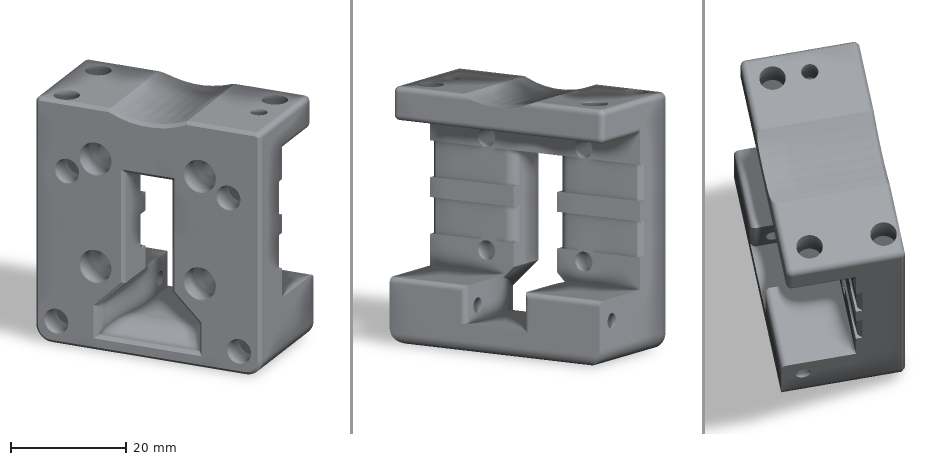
import cadquery as cq
import math

WIDTH = 43.2
DEPTH = 22.0
HEIGHT = 45.4

WALL_THICKNESS = 8.8
ARM_DEPTH = 21.0
ARM_THICKNESS = 6.0
BLOCK_HEIGHT = 11.8
ARM_FILLET = 1.0
BLOCK_TOP_FILLET = 1.0
BLOCK_BOTTOM_FILLET = 2.0
BOTTOM_CORNER_RADIUS = 3.0
FRONT_CHAMFER = 0.6

DIP_WIDTH = 14.7
DIP_SAG = 1.6

WINDOW_HALF_WIDTH = 4.5
WINDOW_TOP = 33.9
WINDOW_SHOULDER = 13.2
MOUTH_HALF_WIDTH = 9.75
MOUTH_FLOOR = 2.8
MOUTH_SHOULDER = 8.15

STRAIGHT_END = 2.1
STRAIGHT_HALF_WIDTH = 9.2
THROAT_HALF_WIDTH = 6.0
THROAT_START = 14.0
EXIT_FILLET = 1.0
FLOOR_FLAT_END = 1.2
FLOOR_LEVEL_START = 7.0
THROAT_FLOOR = 5.0

SCREW_PITCH = 20.0
SCREW_CENTRE_Z = 25.65
SCREW_DIAMETER = 3.5
SCREW_HEAD_DIAMETER = 6.1
SCREW_HEAD_DEPTH = 4.0
SCREW_CONE_ANGLE = 118.0

SLOT_WIDTH = 6.5
SLOT_PITCH = SCREW_PITCH / 2
SLOT_CENTRE_Z = SCREW_CENTRE_Z
SLOT_DEPTH = 0.4
SLOT_END_CHAMFER = 0.8
SLOT_WINDOW_RADIUS = 2.0

MAGNET_DIAMETER = 4.6
MAGNET_DEPTH = 5.0
BOTTOM_MAGNET_Z = 4.25
RELIEF_MAGNET_X = 17.5
FRONT_MAGNETS = [
    (-15.45, 32.5),
    (15.45, 32.5),
    (-RELIEF_MAGNET_X, BOTTOM_MAGNET_Z),
    (RELIEF_MAGNET_X, BOTTOM_MAGNET_Z),
]
TOP_MAGNETS = [(-16.9, 16.1), (-16.9, 3.0), (16.9, 16.1)]

RELIEF_FLOOR = 4.6
RELIEF_DEPTH = 0.9

PIN_DIAMETER = 3.0
PIN_X = 16.9
PIN_Y = 9.5
PIN_DEPTH = 5.0

CROSS_PIN_Y = 18.05
CROSS_PIN_Z = 7.8
CROSS_PIN_DIAMETER = 2.7
CROSS_PIN_DEPTH = 35.0


def hole_along_y(x, z, diameter, depth):
    """Cylinder running in +Y from the front face."""
    return cq.Workplane("XZ", origin=(x, 0, z)).circle(diameter / 2).extrude(-depth)


def hole_from_top(x, y, diameter, depth):
    """Cylinder running down from the top face."""
    return cq.Workplane("XY", origin=(x, y, HEIGHT - depth)).circle(diameter / 2).extrude(depth)


def make_block():
    block = cq.Workplane("XY").box(WIDTH, DEPTH, BLOCK_HEIGHT, centered=(True, False, False))
    block = block.edges(">Y and >Z").fillet(BLOCK_TOP_FILLET)
    return block.edges(">Y and <Z").fillet(BLOCK_BOTTOM_FILLET)


def make_arm():
    arm = (
        cq.Workplane("XY", origin=(0, 0, HEIGHT - ARM_THICKNESS))
        .box(WIDTH, ARM_DEPTH, ARM_THICKNESS, centered=(True, False, False))
    )
    return arm.edges("not <Y").fillet(ARM_FILLET)


def make_wall():
    wall = cq.Workplane("XY").box(WIDTH, WALL_THICKNESS, HEIGHT, centered=(True, False, False))
    return wall.edges("|Y and >Z").fillet(ARM_FILLET)


def make_dip():
    dip_radius = ((DIP_WIDTH / 2) ** 2 + DIP_SAG**2) / (2 * DIP_SAG)
    return hole_along_y(0, HEIGHT - DIP_SAG + dip_radius, 2 * dip_radius, DEPTH)


def make_corner_envelope():
    """Rectangle with rounded bottom corners, swept through the whole depth."""
    envelope = cq.Workplane("XY").box(WIDTH, DEPTH, HEIGHT, centered=(True, False, False))
    return envelope.edges("|Y and <Z").fillet(BOTTOM_CORNER_RADIUS)


def make_body():
    body = make_wall().union(make_arm()).union(make_block())
    body = body.intersect(make_corner_envelope()).cut(make_dip())
    return body.faces("<Y").edges().chamfer(FRONT_CHAMFER)


def window_outline(offset):
    """Keyhole outline grown outwards by `offset`."""
    slope_angle = math.atan2(MOUTH_HALF_WIDTH - WINDOW_HALF_WIDTH, WINDOW_SHOULDER - MOUTH_SHOULDER)
    slope_shift = offset * math.tan(slope_angle / 2)
    inner = WINDOW_HALF_WIDTH + offset
    outer = MOUTH_HALF_WIDTH + offset
    top = WINDOW_TOP + offset
    floor = MOUTH_FLOOR - offset
    upper = WINDOW_SHOULDER + slope_shift
    lower = MOUTH_SHOULDER + slope_shift
    return [
        (-inner, top),
        (inner, top),
        (inner, upper),
        (outer, lower),
        (outer, floor),
        (-outer, floor),
        (-outer, lower),
        (-inner, upper),
    ]


def make_funnel_plan():
    """Outline of the funnel seen from above, as a tall prism."""
    narrowing = STRAIGHT_HALF_WIDTH - THROAT_HALF_WIDTH
    run = THROAT_START - STRAIGHT_END
    radius = (run**2 + narrowing**2) / (2 * narrowing)
    half_angle = math.asin(run / radius) / 2
    mid_x = THROAT_HALF_WIDTH + radius * (1 - math.cos(half_angle))
    mid_y = THROAT_START - radius * math.sin(half_angle)
    exit_start = DEPTH - EXIT_FILLET
    exit_half_width = THROAT_HALF_WIDTH + EXIT_FILLET
    exit_mid_x = exit_half_width - EXIT_FILLET * math.cos(math.pi / 4)
    exit_mid_y = exit_start + EXIT_FILLET * math.sin(math.pi / 4)
    half = (
        cq.Workplane("XY")
        .moveTo(0, 0)
        .lineTo(MOUTH_HALF_WIDTH, 0)
        .lineTo(MOUTH_HALF_WIDTH, FRONT_CHAMFER)
        .lineTo(STRAIGHT_HALF_WIDTH, STRAIGHT_END)
        .threePointArc((mid_x, mid_y), (THROAT_HALF_WIDTH, THROAT_START))
        .lineTo(THROAT_HALF_WIDTH, exit_start)
        .threePointArc((exit_mid_x, exit_mid_y), (exit_half_width, DEPTH))
        .lineTo(0, DEPTH)
        .close()
        .extrude(HEIGHT)
    )
    return half.union(half.mirror("YZ"))


def make_funnel_side():
    """Space above the curved floor and inside the window height, as a wide prism."""
    rise = THROAT_FLOOR - MOUTH_FLOOR
    run = FLOOR_LEVEL_START - FLOOR_FLAT_END
    radius = (run**2 + rise**2) / (2 * rise)
    half_angle = math.asin(run / radius) / 2
    mid_y = FLOOR_LEVEL_START - radius * math.sin(half_angle)
    mid_z = THROAT_FLOOR - radius * (1 - math.cos(half_angle))
    return (
        cq.Workplane("YZ", origin=(-WIDTH / 2, 0, 0))
        .moveTo(0, MOUTH_FLOOR)
        .lineTo(FLOOR_FLAT_END, MOUTH_FLOOR)
        .threePointArc((mid_y, mid_z), (FLOOR_LEVEL_START, THROAT_FLOOR))
        .lineTo(DEPTH, THROAT_FLOOR)
        .lineTo(DEPTH, WINDOW_TOP)
        .lineTo(0, WINDOW_TOP)
        .close()
        .extrude(WIDTH)
    )


def make_window():
    through_wall = cq.Workplane("XZ").polyline(window_outline(0)).close().extrude(-WALL_THICKNESS)
    behind_wall = (
        cq.Workplane("XY", origin=(0, WALL_THICKNESS, 0))
        .box(WIDTH, DEPTH - WALL_THICKNESS, BLOCK_HEIGHT, centered=(True, False, False))
    )
    passage = through_wall.union(behind_wall).intersect(make_funnel_plan()).intersect(make_funnel_side())
    bevel = (
        cq.Workplane("XZ")
        .polyline(window_outline(FRONT_CHAMFER))
        .close()
        .workplane(offset=-FRONT_CHAMFER)
        .polyline(window_outline(0))
        .close()
        .loft(ruled=True)
    )
    return passage.union(bevel)


def make_screw_hole(x, z):
    """Deep head recess with a conical seat and a through hole."""
    head_radius = SCREW_HEAD_DIAMETER / 2
    shank_radius = SCREW_DIAMETER / 2
    cone_depth = (head_radius - shank_radius) / math.tan(math.radians(SCREW_CONE_ANGLE / 2))
    return (
        cq.Workplane("XY")
        .polyline([
            (0, 0),
            (head_radius, 0),
            (head_radius, SCREW_HEAD_DEPTH),
            (shank_radius, SCREW_HEAD_DEPTH + cone_depth),
            (shank_radius, WALL_THICKNESS),
            (0, WALL_THICKNESS),
        ])
        .close()
        .revolve(360, (0, 0, 0), (0, 1, 0))
        .translate((x, 0, z))
    )


def make_strap_slot(z):
    """Slot across the back of the wall, eased at the outer ends and at the window."""
    side = WIDTH / 2
    back = WALL_THICKNESS
    floor = back - SLOT_DEPTH
    round_end = WINDOW_HALF_WIDTH + SLOT_WINDOW_RADIUS
    round_mid_x = round_end - SLOT_WINDOW_RADIUS * math.sin(math.pi / 4)
    round_mid_y = floor - SLOT_WINDOW_RADIUS * (1 - math.cos(math.pi / 4))
    half = (
        cq.Workplane("XY", origin=(0, 0, z - SLOT_WIDTH / 2))
        .moveTo(WINDOW_HALF_WIDTH, back)
        .lineTo(WINDOW_HALF_WIDTH, floor - SLOT_WINDOW_RADIUS)
        .threePointArc((round_mid_x, round_mid_y), (round_end, floor))
        .lineTo(side - SLOT_END_CHAMFER, floor)
        .lineTo(side, floor - SLOT_END_CHAMFER)
        .lineTo(side, back)
        .close()
        .extrude(SLOT_WIDTH)
    )
    return half.union(half.mirror("YZ"))


def make_cross_pin_hole():
    return (
        cq.Workplane("YZ", origin=(-WIDTH / 2, CROSS_PIN_Y, CROSS_PIN_Z))
        .circle(CROSS_PIN_DIAMETER / 2)
        .extrude(CROSS_PIN_DEPTH)
    )


def make_magnet_relief():
    """Upper part of the magnet hole run deeper, with a roof sloping back to the hole's end."""
    hole_top = BOTTOM_MAGNET_Z + MAGNET_DIAMETER / 2
    wedge = (
        cq.Workplane("YZ", origin=(RELIEF_MAGNET_X, 0, 0))
        .polyline([
            (MAGNET_DEPTH, RELIEF_FLOOR),
            (MAGNET_DEPTH + RELIEF_DEPTH, RELIEF_FLOOR),
            (MAGNET_DEPTH, hole_top),
        ])
        .close()
        .extrude(MAGNET_DIAMETER / 2, both=True)
    )
    bore = hole_along_y(RELIEF_MAGNET_X, BOTTOM_MAGNET_Z, MAGNET_DIAMETER, MAGNET_DEPTH + RELIEF_DEPTH)
    return wedge.intersect(bore)


result = make_body().cut(make_window())
for side in (-1, 1):
    for level in (-1, 1):
        screw_z = SCREW_CENTRE_Z + level * SCREW_PITCH / 2
        result = result.cut(make_screw_hole(side * SCREW_PITCH / 2, screw_z))
for level in (-1, 1):
    result = result.cut(make_strap_slot(SLOT_CENTRE_Z + level * SLOT_PITCH / 2))
for x, z in FRONT_MAGNETS:
    result = result.cut(hole_along_y(x, z, MAGNET_DIAMETER, MAGNET_DEPTH))
for x, y in TOP_MAGNETS:
    result = result.cut(hole_from_top(x, y, MAGNET_DIAMETER, MAGNET_DEPTH))
result = result.cut(hole_from_top(PIN_X, PIN_Y, PIN_DIAMETER, PIN_DEPTH))
result = result.cut(make_cross_pin_hole())
result = result.cut(make_magnet_relief())